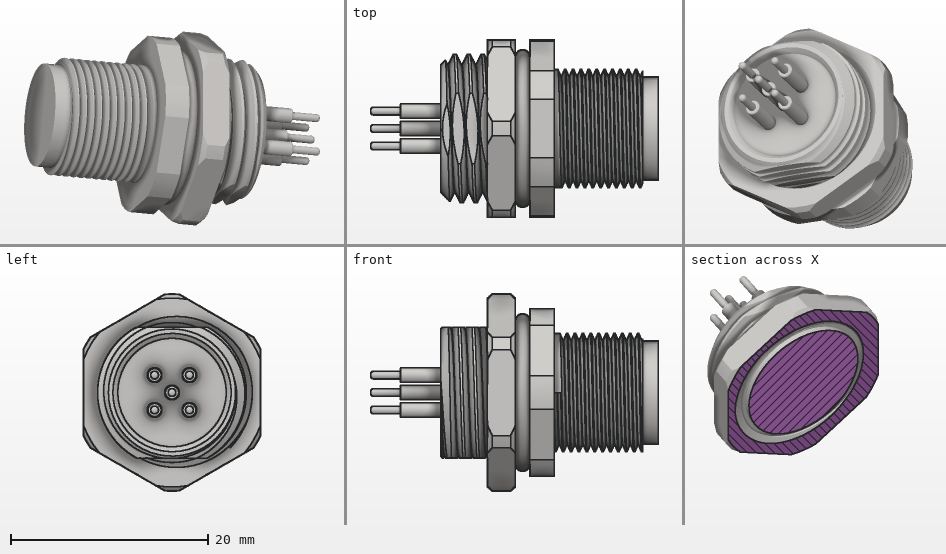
import cadquery as cq
import math


nut_thickness = 2.85
seal_section = 1.45
flange_thickness = 2.5
front_thread_length = 8.95
nose_length = 1.6

nut_rear = 4.75
nut_front = nut_rear + nut_thickness
flange_rear = nut_front + seal_section
flange_front = flange_rear + flange_thickness
front_thread_end = flange_front + front_thread_length
nose_end = front_thread_end + nose_length

rear_major_radius = 7.55
rear_root_radius = 6.45
inch = 25.4
rear_threads_per_inch = 18
rear_pitch = inch / rear_threads_per_inch
rear_crest_width = 0.27
rear_root_width = 0.05
rear_groove_phase = 0.74
rear_thread_end = 6.9
rear_flat_height = 6.64

front_major_radius = 6.0
front_root_radius = 5.3
front_pitch = 0.8
front_crest_width = 0.12
front_root_width = 0.05
front_groove_start = 0.29
nose_radius = 5.25

flange_across_flats = 17.0
flange_corner_radius = 9.0

mouth_radius = 6.0
insert_radius = 5.5
insert_recess = 0.5
insert_thickness = 4.0

nut_across_flats = 18.0
nut_corner_radius = 10.0
nut_chamfer_length = 0.5
nut_chamfer_height = 0.42
nut_bore_radius = 7.1
nut_root_radius = 8.15
nut_crest_width = 0.15
nut_root_width = 0.2
nut_groove_phase = 4.78

seal_outer_radius = 8.0
seal_inner_radius = seal_outer_radius - seal_section

pin_ring_radius = 2.5
pin_offset = pin_ring_radius / math.sqrt(2)
pin_places = [(0, 0)] + [(sy * pin_offset, sz * pin_offset) for sy in (-1, 1) for sz in (-1, 1)]
sleeve_radius = 0.75
sleeve_chamfer = 0.08
sleeve_rear = -4.1
tip_radius = 0.4
tip_rounding = 0.3
tip_rear = -7.1

groove_overcut = 0.05


def cylinder(radius, start, end):
    return cq.Workplane("YZ").workplane(offset=start).circle(radius).extrude(end - start)


def hexagon(across_flats, start, end, first_corner):
    """Hexagonal prism along X with a corner at the given angle from +Y."""
    corner_radius = across_flats / math.sqrt(3)
    angles = [math.radians(first_corner + 60 * i) for i in range(6)]
    corners = [(corner_radius * math.cos(a), corner_radius * math.sin(a)) for a in angles]
    return cq.Workplane("YZ").workplane(offset=start).polyline(corners).close().extrude(end - start)


def thread_groove(surface_radius, root_radius, pitch, crest_width, root_width, start, turns, start_angle):
    """Right-handed helical V groove along X, cut inwards or outwards from a cylindrical surface.

    The groove is centred on X = start at start_angle, measured from +Y towards +Z.
    """
    depth = abs(surface_radius - root_radius)
    root_half = root_width / 2
    mouth_half = (pitch - crest_width) / 2
    slope = (mouth_half - root_half) / depth
    outward = math.copysign(1, surface_radius - root_radius)
    cutter_radius = surface_radius + outward * groove_overcut
    cutter_half = mouth_half + slope * groove_overcut
    profile = cq.Workplane("XZ").polyline([
        (root_radius, -root_half),
        (cutter_radius, -cutter_half),
        (cutter_radius, cutter_half),
        (root_radius, root_half),
    ]).close()
    path = cq.Wire.makeHelix(pitch, turns * pitch, root_radius)
    groove = profile.sweep(cq.Workplane(path), isFrenet=True).val()
    groove = groove.rotate(cq.Vector(0, 0, 0), cq.Vector(0, 0, 1), start_angle)
    along_x = cq.Location(cq.Plane.named("YZ"))
    return cq.Workplane(groove.moved(along_x).translate(cq.Vector(start, 0, 0)))


def make_rear_thread():
    chamfer = rear_major_radius - rear_root_radius
    body = cylinder(rear_major_radius, 0, rear_thread_end)
    envelope = body.faces("<X").chamfer(chamfer)
    turns = math.ceil(rear_thread_end / rear_pitch) + 1
    body = body.cut(thread_groove(
        rear_major_radius, rear_root_radius, rear_pitch, rear_crest_width, rear_root_width,
        rear_groove_phase - rear_pitch, turns, 0))
    flats = cq.Workplane("XY").box(2 * rear_thread_end, 4 * rear_major_radius, 2 * rear_flat_height)
    return body.intersect(envelope).intersect(flats)


def make_front_thread():
    body = cylinder(front_major_radius, flange_front, front_thread_end)
    turns = math.ceil(front_thread_length / front_pitch) + 2
    return body.cut(thread_groove(
        front_major_radius, front_root_radius, front_pitch, front_crest_width, front_root_width,
        flange_front + front_groove_start, turns, 180))


def make_shell():
    flange = hexagon(flange_across_flats, flange_rear, flange_front, 0)
    flange = flange.intersect(cylinder(flange_corner_radius, flange_rear, flange_front))
    neck = cylinder(seal_inner_radius, rear_thread_end, flange_rear)
    nose = cylinder(nose_radius, front_thread_end, nose_end)
    shell = make_rear_thread().union(neck).union(flange).union(make_front_thread()).union(nose)
    insert_pocket = cylinder(insert_radius, 0, insert_recess + insert_thickness)
    mouth = (
        cq.Workplane("XY")
        .polyline([(0, 0), (0, mouth_radius), (insert_recess, insert_radius), (insert_recess, 0)])
        .close()
        .revolve(360, (0, 0, 0), (1, 0, 0))
    )
    return shell.cut(insert_pocket).cut(mouth)


def make_nut():
    """Hexagon nut with chamfered corners and an internal thread that has play on the shell thread."""
    corner_limit = cylinder(nut_corner_radius, nut_rear, nut_front)
    corner_limit = corner_limit.faces("<X or >X").chamfer(nut_chamfer_length, nut_chamfer_height)
    nut = hexagon(nut_across_flats, nut_rear, nut_front, 30).intersect(corner_limit)
    turns = math.ceil(nut_thickness / rear_pitch) + 1
    nut = nut.cut(thread_groove(
        nut_bore_radius, nut_root_radius, rear_pitch, nut_crest_width, nut_root_width,
        nut_groove_phase - rear_pitch, turns, 180))
    return nut.cut(cylinder(nut_bore_radius, nut_rear - rear_pitch, nut_front + rear_pitch))


def make_seal_ring():
    section_radius = seal_section / 2
    axis_drop = section_radius - seal_outer_radius
    return (
        cq.Workplane("XY")
        .center(nut_front + section_radius, -axis_drop)
        .circle(section_radius)
        .revolve(360, (0, axis_drop, 0), (1, axis_drop, 0))
    )


def make_pin(y, z):
    """Stepped pin seated in the insert down to the floor of the shell pocket."""
    sleeve = cylinder(sleeve_radius, sleeve_rear, insert_recess + insert_thickness)
    sleeve = sleeve.faces("<X").chamfer(sleeve_chamfer)
    tip = cylinder(tip_radius, tip_rear, sleeve_rear).faces("<X").edges().fillet(tip_rounding)
    return sleeve.union(tip).translate((0, y, z))


def make_insert():
    insert = cylinder(insert_radius, insert_recess, insert_recess + insert_thickness)
    pin_holes = (
        cq.Workplane("YZ")
        .workplane(offset=insert_recess)
        .pushPoints(pin_places)
        .circle(sleeve_radius)
        .extrude(insert_thickness)
    )
    return insert.cut(pin_holes)


shell = make_shell()
nut = make_nut()
seal_ring = make_seal_ring()
insert = make_insert()
pins = [make_pin(y, z) for y, z in pin_places]

result = cq.Compound.makeCompound(
    [shell.val(), nut.val(), seal_ring.val(), insert.val()] + [pin.val() for pin in pins]
)